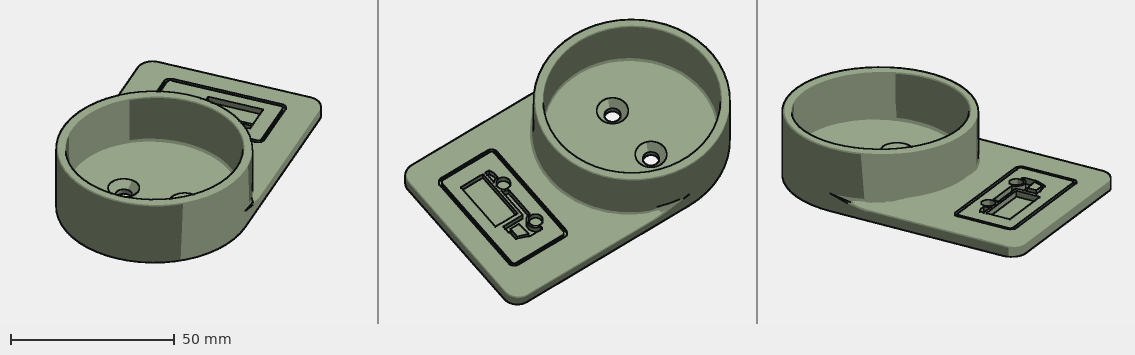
import cadquery as cq
import math

total_length = 96.2
width = 60.0
height = 22.0
plate_thickness = 4.0
floor_thickness = 4.0
corner_radius = 5.0
edge_radius = 1.0

cup_radius = width / 2
wall_thickness = 3.0
root_radius = 2.0
bore_radius = cup_radius - wall_thickness

hole_spacing = 20.0
hole_diameter = 5.0
countersink_diameter = 9.6
countersink_angle = 90

frame_depth = 1.0
frame_length = 39.9
frame_height = 21.5
frame_center = (0.5, 48.2)
frame_line = 1.0
frame_corner_radius = 2.0

truck_depth = 2.0
wheel_centers = [(-9.1, 42.8), (7.7, 42.8)]
wheel_radius = 2.2
arch_radius = 2.9
cargo_center = (5.1, 50.0)
cargo_length = 18.1
cargo_height = 8.4
body_outline = [
    (-13.0, 43.2), (-13.0, 47.6), (-11.3, 51.85), (-8.0, 51.9), (-8.0, 52.2),
    (-5.3, 52.2), (-5.3, 44.9), (14.1, 44.9), (14.1, 43.5), (12.3, 42.9), (-12.7, 42.9),
]
window_outline = [(-12.1, 47.5), (-10.8, 51.0), (-7.3, 51.0), (-7.3, 47.8)]


def make_plate():
    """Plate from the cup axis to the far end, with rounded corners."""
    plate_length = total_length - cup_radius
    plate = cq.Workplane("XY").box(width, plate_length, plate_thickness, centered=(True, False, False))
    return plate.edges("|Z and >Y").fillet(corner_radius)


def make_root():
    """Half ring with a concave outer face that blends the cup into the plate, flush with the plate sides."""
    bend = root_radius * (1 - math.sqrt(0.5))
    ring = (
        cq.Workplane("XZ")
        .moveTo(bore_radius, 0)
        .lineTo(cup_radius + root_radius, 0)
        .lineTo(cup_radius + root_radius, plate_thickness)
        .threePointArc((cup_radius + bend, plate_thickness + bend), (cup_radius, plate_thickness + root_radius))
        .lineTo(bore_radius, plate_thickness + root_radius)
        .close()
        .revolve(360, (0, 0, 0), (0, 1, 0))
    )
    return ring.intersect(cq.Workplane("XY").box(width, total_length, height, centered=(True, False, False)))


def make_holder():
    """Plate and cup joined by the root, with the upper edge of the plate and its sides rounded."""
    cup = cq.Workplane("XY").circle(cup_radius).extrude(height)
    holder = make_plate().union(make_root()).union(cup)
    margin = 0.1
    low = plate_thickness - margin
    high = plate_thickness + root_radius - margin
    upper_edges = cq.selectors.BoxSelector((-width, 0, low), (width, total_length, high))
    root_edge = cq.selectors.BoxSelector((-bore_radius, 0, low), (bore_radius, cup_radius, high))
    return holder.edges(upper_edges - root_edge).fillet(edge_radius)


def make_bore():
    """Cup cavity with a rounded lower edge."""
    bore = cq.Workplane("XY").workplane(offset=floor_thickness).circle(bore_radius)
    return bore.extrude(height - floor_thickness).faces("<Z").edges().fillet(root_radius)


def make_screw_holes():
    """Through holes with conical sinks that open at the cup floor."""
    hole_radius = hole_diameter / 2
    sink_radius = countersink_diameter / 2
    sink_depth = (sink_radius - hole_radius) / math.tan(math.radians(countersink_angle / 2))
    points = [(-hole_spacing / 2, 0), (hole_spacing / 2, 0)]
    holes = cq.Workplane("XY").pushPoints(points).circle(hole_radius).extrude(floor_thickness)
    sink = cq.Solid.makeCone(hole_radius, sink_radius, sink_depth)
    sink = sink.moved(cq.Location(cq.Vector(0, 0, floor_thickness - sink_depth)))
    return holes.union(cq.Workplane("XY").pushPoints(points).eachpoint(sink))


def make_frame():
    """Narrow rounded rectangular groove around the truck."""
    start = cq.Workplane("XY").workplane(offset=plate_thickness - frame_depth).center(*frame_center)
    outer = start.rect(frame_length, frame_height).extrude(frame_depth)
    outer = outer.edges("|Z").fillet(frame_corner_radius)
    inner = start.rect(frame_length - 2 * frame_line, frame_height - 2 * frame_line)
    inner = inner.extrude(frame_depth).edges("|Z").fillet(frame_corner_radius - frame_line)
    return outer.cut(inner)


def make_truck():
    """Cargo box, cab with chassis, and wheels; the window stays standing."""
    base = cq.Workplane("XY").workplane(offset=plate_thickness - truck_depth)
    arches = base.pushPoints(wheel_centers).circle(arch_radius).extrude(truck_depth)
    wheels = base.pushPoints(wheel_centers).circle(wheel_radius).extrude(truck_depth)
    window = base.polyline(window_outline).close().extrude(truck_depth)
    body = base.polyline(body_outline).close().extrude(truck_depth)
    cargo = base.center(*cargo_center).rect(cargo_length, cargo_height)
    return body.cut(arches).cut(window).union(wheels).union(cargo.extrude(truck_depth))


result = make_holder().cut(make_bore())
result = result.faces(">Z").edges().fillet(edge_radius)
result = result.cut(make_screw_holes()).cut(make_frame()).cut(make_truck())